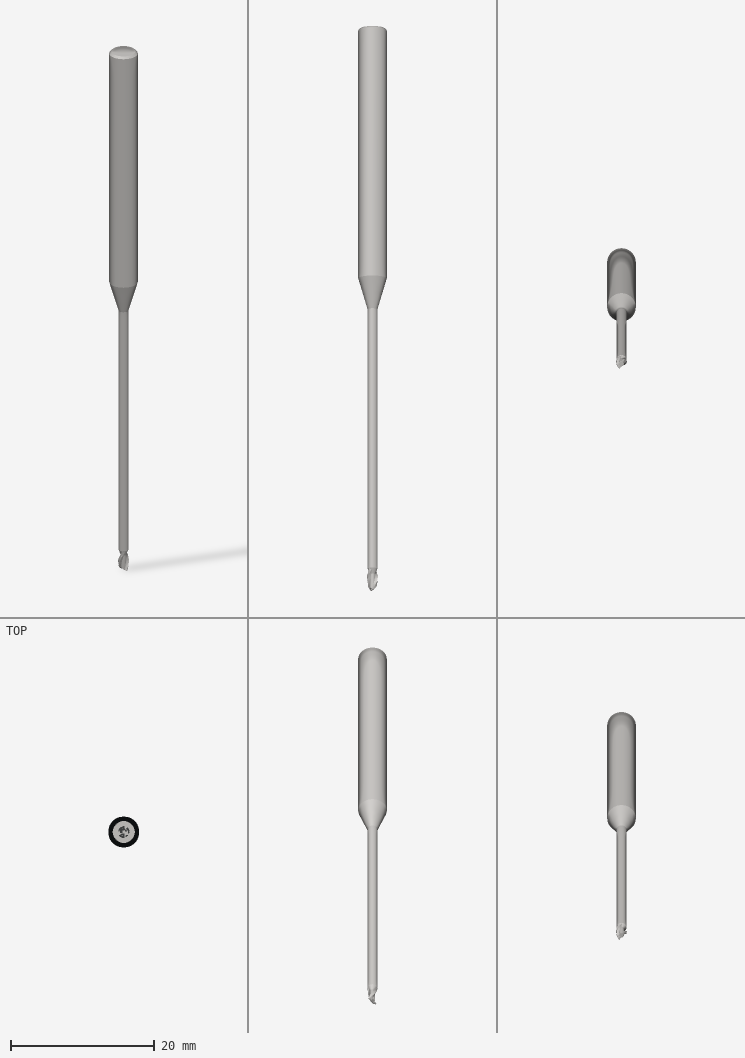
import cadquery as cq
import math


total_length = 80.0
shank_diameter = 4.0
shank_chamfer = 0.3
shank_start = 44.4
neck_diameter = 1.4
neck_start = 40.0
cutter_diameter = 1.5
cut_length = 1.5 * cutter_diameter
helix_angle = 30.0
web_thickness = 0.6
core_diameter = 0.75
heel_reach_ratio = 0.8
run_out_length = 0.8
tip_land = 0.2
tip_relief_angle = 40.0
gash_width = 0.5
gash_depth = 0.2

shank_radius = shank_diameter / 2
neck_radius = neck_diameter / 2
cutter_radius = cutter_diameter / 2
core_radius = core_diameter / 2
helix_lead = math.pi * cutter_diameter / math.tan(math.radians(helix_angle))
run_out_end = cut_length + run_out_length


def twist_over(length):
    """Helix rotation in degrees over a length of the tool."""
    return 360.0 * length / helix_lead


def twisted_blades(radius, start_height, length):
    """Pair of opposed helical blades with backed-off heels, trimmed to a radius; along X at Z = 0."""
    edge_offset = tip_land / 2
    edge_reach = math.sqrt(radius**2 - edge_offset**2)
    heel_offset = web_thickness / 2
    heel_reach = heel_reach_ratio * radius
    web = (
        cq.Workplane("XY")
        .moveTo(edge_reach, -edge_offset)
        .lineTo(heel_reach, heel_offset)
        .lineTo(-edge_reach, edge_offset)
        .lineTo(-heel_reach, -heel_offset)
        .close()
        .twistExtrude(length, twist_over(length))
        .rotate((0, 0, 0), (0, 0, 1), twist_over(start_height))
        .translate((0, 0, start_height))
    )
    envelope = cq.Workplane("XY").workplane(offset=start_height).circle(radius).extrude(length)
    core = cq.Workplane("XY").workplane(offset=start_height).circle(core_radius).extrude(length)
    return web.intersect(envelope).union(core)


def make_shank():
    """Shank, cone and neck in one turned profile, with the flutes fading out into the neck."""
    turned = (
        cq.Workplane("XZ")
        .moveTo(0, cut_length)
        .lineTo(core_radius, cut_length)
        .lineTo(neck_radius, run_out_end)
        .lineTo(neck_radius, neck_start)
        .lineTo(shank_radius, shank_start)
        .lineTo(shank_radius, total_length - shank_chamfer)
        .lineTo(shank_radius - shank_chamfer, total_length)
        .lineTo(0, total_length)
        .close()
        .revolve(360, (0, 0, 0), (0, 1, 0))
    )
    return turned.union(twisted_blades(neck_radius, cut_length, run_out_length))


def make_cutter():
    """Fluted head whose end is relieved to a narrow edge along X and notched at its centre."""
    blades = twisted_blades(cutter_radius, 0, cut_length)
    relief_height = cutter_radius / math.tan(math.radians(tip_relief_angle))
    edge_half_width = tip_land / 2
    for side in (-1, 1):
        relief = (
            cq.Workplane("YZ")
            .moveTo(side * edge_half_width, 0)
            .lineTo(side * (edge_half_width + cutter_radius), 0)
            .lineTo(side * (edge_half_width + cutter_radius), relief_height)
            .close()
            .extrude(cutter_radius, both=True)
        )
        blades = blades.cut(relief)
    gash = cq.Workplane("XY").rect(gash_width, cutter_diameter).extrude(gash_depth)
    return blades.cut(gash)


shank = make_shank()
cutter = make_cutter()

result = cq.Compound.makeCompound([shank.val(), cutter.val()])